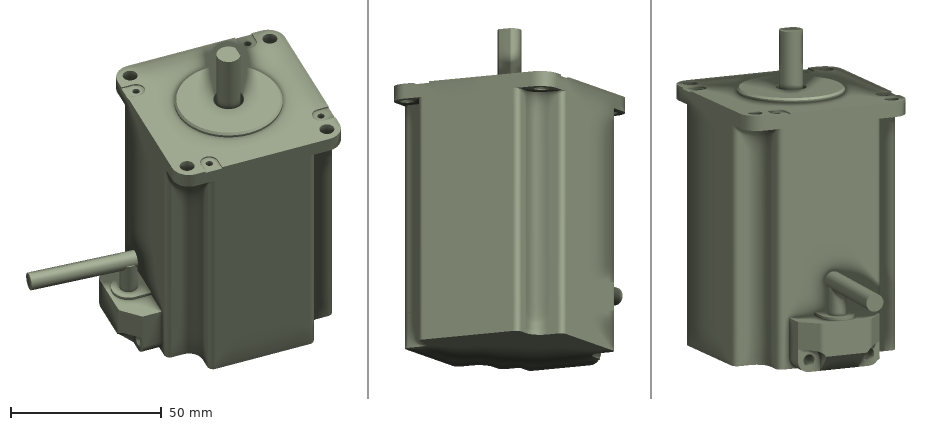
import cadquery as cq
import math

frame_width = 60.0
half_width = frame_width / 2
front_face_z = 87.0
flange_thickness = 5.1
front_cover_height = 10.3
rear_cover_height = 12.0
stator_top_z = front_face_z - front_cover_height

flange_corner_radius = 6.0
mounting_hole_diameter = 5.0
mounting_hole_inset = 5.0

scoop_radius = 5.0
scoop_inset = flange_corner_radius
scoop_depth = scoop_inset + scoop_radius
frame_edge_radius = 2.0

boss_diameter = 36.0
boss_height = 1.5
boss_chamfer = 0.6
shaft_clearance_diameter = 10.0
shaft_clearance_chamfer = 0.2

seat_radius = 3.0
seat_depth = 0.5
seat_inset = 4.0
seat_offset = 17.5
screw_hole_diameter = 2.5

shaft_diameter = 8.0
shaft_top_z = 108.0
shaft_flat_bottom_z = 92.0
shaft_flat_cut = 0.6

outlet_width = 30.0
outlet_depth = 13.0
outlet_height = 17.4
outlet_chamfer = 6.0
outlet_edge_radius = 2.0
outlet_front_y = -half_width - outlet_depth
ear_radius = 4.0
ear_front_y = outlet_front_y + outlet_chamfer
ear_hole_diameter = 4.0
ear_hole_x = outlet_width / 2 - ear_radius

grommet_radius = 5.8
grommet_height = 1.1
grommet_top_z = outlet_height + grommet_height
grommet_y = -half_width - grommet_radius

cable_diameter = 6.0
lead_axis_z = 29.5
lead_start_x = -0.2
lead_start_y = -33.4
lead_end_x = -2.7
lead_end_y = -70.4


def cylinder(diameter, bottom_z, top_z, x=0.0, y=0.0):
    """Upright cylinder on the axis through (x, y)."""
    base = cq.Workplane("XY", origin=(x, y, bottom_z))
    return base.circle(diameter / 2).extrude(top_z - bottom_z)


def four_around(cutter):
    """The cutter repeated at every quarter turn about the shaft axis."""
    copies = cutter
    for quarter in range(1, 4):
        copies = copies.union(cutter.rotate((0, 0, 0), (0, 0, 1), 90 * quarter))
    return copies


def corner_scoop(bottom_z, top_z):
    """Cutter for the concave corner at +X +Y, with the rounded edges beside it."""
    wall = half_width - scoop_depth
    arc_end = half_width - scoop_inset
    arc_mid = arc_end - scoop_radius * math.sqrt(0.5)
    round_start = half_width - frame_edge_radius
    side_end = wall - frame_edge_radius
    return (
        cq.Workplane("XY", origin=(0, 0, bottom_z))
        .moveTo(half_width, half_width)
        .lineTo(side_end, half_width)
        .radiusArc((wall, round_start), frame_edge_radius)
        .lineTo(wall, arc_end)
        .threePointArc((arc_mid, arc_mid), (arc_end, wall))
        .lineTo(round_start, wall)
        .radiusArc((half_width, side_end), frame_edge_radius)
        .close()
        .extrude(top_z - bottom_z)
    )


def frame_block(bottom_z, top_z):
    """Length of the square motor frame with its four concave corners."""
    block = cq.Workplane("XY", origin=(0, 0, bottom_z)).rect(frame_width, frame_width)
    return block.extrude(top_z - bottom_z).cut(four_around(corner_scoop(bottom_z, top_z)))


def screw_seat():
    """Cutter for the recessed seat and screw hole beside the +Y side."""
    seat_y = half_width - seat_inset
    floor_z = front_face_z - seat_depth
    round_end = cylinder(2 * seat_radius, floor_z, front_face_z, seat_offset, seat_y)
    channel = cq.Workplane("XY", origin=(seat_offset, seat_y, floor_z)).box(
        2 * seat_radius, seat_inset, seat_depth, centered=(True, False, False)
    )
    hole = cylinder(screw_hole_diameter, stator_top_z, front_face_z, seat_offset, seat_y)
    return round_end.union(channel).union(hole)


def make_front_cover():
    """Square mounting flange on a frame section, with pilot boss, seats and holes."""
    flange_bottom_z = front_face_z - flange_thickness
    flange = (
        cq.Workplane("XY", origin=(0, 0, flange_bottom_z))
        .rect(frame_width, frame_width)
        .extrude(flange_thickness)
        .edges("|Z")
        .fillet(flange_corner_radius)
    )
    boss = cylinder(boss_diameter, front_face_z, front_face_z + boss_height)
    boss = boss.faces(">Z").chamfer(boss_chamfer)
    hole_place = half_width - mounting_hole_inset
    mounting_hole = cylinder(mounting_hole_diameter, flange_bottom_z, front_face_z, hole_place, hole_place)
    cover = (
        frame_block(stator_top_z, flange_bottom_z)
        .union(flange)
        .union(boss)
        .cut(cylinder(shaft_clearance_diameter, stator_top_z, front_face_z + boss_height))
        .cut(four_around(mounting_hole))
        .cut(four_around(screw_seat()))
    )
    boss_top = cover.faces(">Z")
    return boss_top.edges(cq.selectors.RadiusNthSelector(0)).chamfer(shaft_clearance_chamfer)


def make_shaft():
    """Round shaft standing on the stator, with a flat on the +Y side of its free end."""
    flat_y = shaft_diameter / 2 - shaft_flat_cut
    flat_length = shaft_top_z - shaft_flat_bottom_z
    flat = cq.Workplane("XY", origin=(0, flat_y, shaft_flat_bottom_z)).box(
        shaft_diameter, shaft_flat_cut, flat_length, centered=(True, False, False)
    )
    return cylinder(shaft_diameter, stator_top_z, shaft_top_z).cut(flat)


def ear_relief(side):
    """Cutter that bares the face of one ear, round about its screw hole (side is -1 or 1)."""
    outer_x = side * outlet_width / 2
    hole_x = side * ear_hole_x
    inner_x = hole_x - side * ear_radius
    arc_mid_x = hole_x - side * ear_radius * math.sqrt(0.5)
    arc_mid_z = ear_radius * (1 + math.sqrt(0.5))
    return (
        cq.Workplane("XZ", origin=(0, ear_front_y, 0))
        .moveTo(outer_x, 0)
        .lineTo(outer_x, 2 * ear_radius)
        .lineTo(hole_x, 2 * ear_radius)
        .threePointArc((arc_mid_x, arc_mid_z), (inner_x, ear_radius))
        .lineTo(inner_x, 0)
        .close()
        .extrude(outlet_chamfer)
    )


def ear_hole(side):
    """Cutter for the screw hole through one ear (side is -1 or 1)."""
    back = cq.Workplane("XZ", origin=(side * ear_hole_x, -half_width, ear_radius))
    return back.circle(ear_hole_diameter / 2).extrude(outlet_depth)


def make_outlet():
    """Cable outlet box with sloped front edges and two screw ears at its lower corners."""
    box = (
        cq.Workplane("XZ", origin=(0, -half_width, outlet_height / 2))
        .rect(outlet_width, outlet_height)
        .extrude(outlet_depth)
    )
    box = box.edges("|Z and <Y").chamfer(outlet_chamfer)
    box = box.edges("|Z and <Y").fillet(outlet_edge_radius)
    box = box.edges("|Y and <Z").fillet(ear_radius)
    slope = (
        cq.Workplane("YZ", origin=(-outlet_width / 2, 0, 0))
        .moveTo(outlet_front_y, 0)
        .lineTo(ear_front_y, 0)
        .lineTo(outlet_front_y, outlet_chamfer)
        .close()
        .extrude(outlet_width)
    )
    box = box.cut(slope)
    for side in (-1, 1):
        box = box.cut(ear_relief(side)).cut(ear_hole(side))
    return box


def make_grommet():
    """Thin cable seat, flat against the motor and round at its front."""
    slab = cq.Workplane("XY", origin=(0, grommet_y, outlet_height)).box(
        2 * grommet_radius, grommet_radius, grommet_height, centered=(True, False, False)
    )
    return slab.union(cylinder(2 * grommet_radius, outlet_height, grommet_top_z, 0, grommet_y))


def make_cable_lead():
    """Horizontal length of cable."""
    start = cq.Vector(lead_start_x, lead_start_y, lead_axis_z)
    run = cq.Vector(lead_end_x, lead_end_y, lead_axis_z) - start
    cross_section = cq.Workplane(cq.Plane(start, cq.Vector(0, 0, 1), run))
    return cross_section.circle(cable_diameter / 2).extrude(run.Length)


front_cover = make_front_cover()
stator = frame_block(rear_cover_height, stator_top_z)
rear_cover = frame_block(0, rear_cover_height)
shaft = make_shaft()
outlet = make_outlet()
grommet = make_grommet()
cable_lead = make_cable_lead()
cable_riser = cylinder(cable_diameter, grommet_top_z, lead_axis_z, 0, grommet_y).cut(cable_lead)

result = cq.Compound.makeCompound(
    [
        front_cover.val(),
        stator.val(),
        rear_cover.val(),
        shaft.val(),
        outlet.val(),
        grommet.val(),
        cable_lead.val(),
        cable_riser.val(),
    ]
)